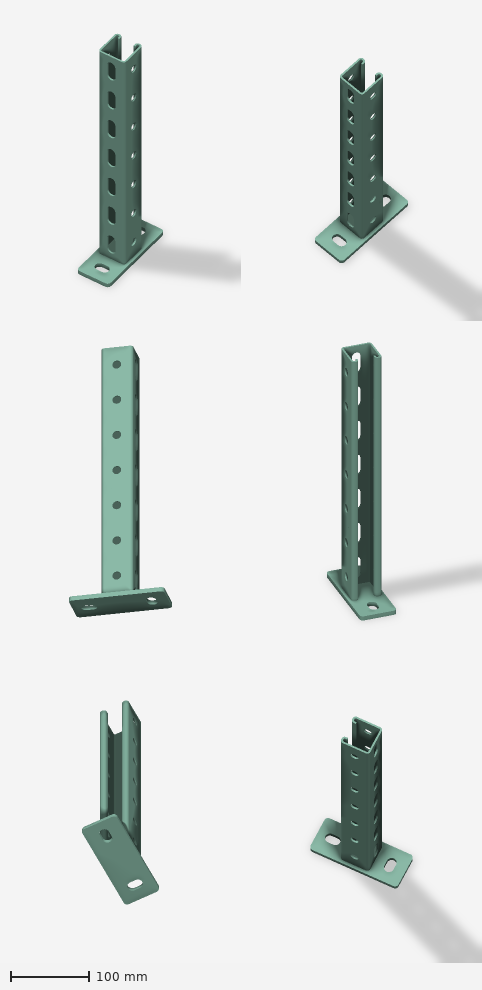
import cadquery as cq

plate_width = 50.0
plate_depth = 125.0
total_height = 356.0

plate_thickness = 6.0
plate_corner_radius = 5.0
anchor_slot_width = 12.8
anchor_slot_length = 20.5
anchor_slot_offset = 41.0

channel_size = 41.3
wall = 2.5
outer_bend_radius = 4.3
inner_bend_radius = outer_bend_radius - wall
flange_width = 9.5
lip_depth = 7.0
channel_length = total_height - plate_thickness

perforation_count = 7
pitch = channel_length / perforation_count
web_slot_width = 12.5
web_slot_length = 30.0
side_hole_diameter = 11.5

half_outer = channel_size / 2
half_inner = half_outer - wall
half_opening = half_outer - flange_width
lip_inner = half_opening + wall


def make_base_plate():
    """Flat plate with rounded corners and two anchor slots at right angles."""
    plate = (
        cq.Workplane("XY")
        .rect(plate_width, plate_depth)
        .extrude(plate_thickness)
        .edges("|Z")
        .fillet(plate_corner_radius)
    )
    for offset, angle in ((-anchor_slot_offset, 0), (anchor_slot_offset, 90)):
        slot = (
            cq.Workplane("XY")
            .center(0, offset)
            .slot2D(anchor_slot_length, anchor_slot_width, angle)
            .extrude(plate_thickness)
        )
        plate = plate.cut(slot)
    return plate


def round_bends(channel, corners, radius):
    """Fillet the upright edges that stand at the given (x, y) corners and their mirror images."""
    mid_height = plate_thickness + channel_length / 2
    for x, y in corners:
        for side in (-1, 1):
            bend = cq.selectors.NearestToPointSelector((side * x, y, mid_height))
            channel = channel.edges("|Z").edges(bend).fillet(radius)
    return channel


def make_channel_profile():
    """Bent sheet channel: web at -Y, two sides, and flanges with inward lips at +Y."""
    lip_end = half_outer - lip_depth
    right_half = [
        (half_outer, -half_outer),
        (half_outer, half_outer),
        (half_opening, half_outer),
        (half_opening, lip_end),
        (lip_inner, lip_end),
        (lip_inner, half_inner),
        (half_inner, half_inner),
        (half_inner, -half_inner),
    ]
    left_half = [(-x, y) for x, y in reversed(right_half)]
    channel = (
        cq.Workplane("XY", origin=(0, 0, plate_thickness))
        .polyline(right_half + left_half)
        .close()
        .extrude(channel_length)
    )
    outer_corners = [
        (half_outer, -half_outer),
        (half_outer, half_outer),
        (half_opening, half_outer),
    ]
    inner_corners = [
        (half_inner, -half_inner),
        (half_inner, half_inner),
        (lip_inner, half_inner),
    ]
    channel = round_bends(channel, outer_corners, outer_bend_radius)
    return round_bends(channel, inner_corners, inner_bend_radius)


def make_channel():
    """Upright channel with web slots and cross holes through both sides."""
    channel = make_channel_profile()
    for index in range(perforation_count):
        height = plate_thickness + pitch / 2 + index * pitch
        web_slot = (
            cq.Workplane("XZ", origin=(0, 0, height))
            .slot2D(web_slot_length, web_slot_width, 90)
            .extrude(half_outer)
        )
        side_hole = (
            cq.Workplane("YZ", origin=(0, 0, height))
            .circle(side_hole_diameter / 2)
            .extrude(half_outer, both=True)
        )
        channel = channel.cut(web_slot).cut(side_hole)
    return channel


base_plate = make_base_plate()
channel = make_channel()

result = cq.Compound.makeCompound([base_plate.val(), channel.val()])